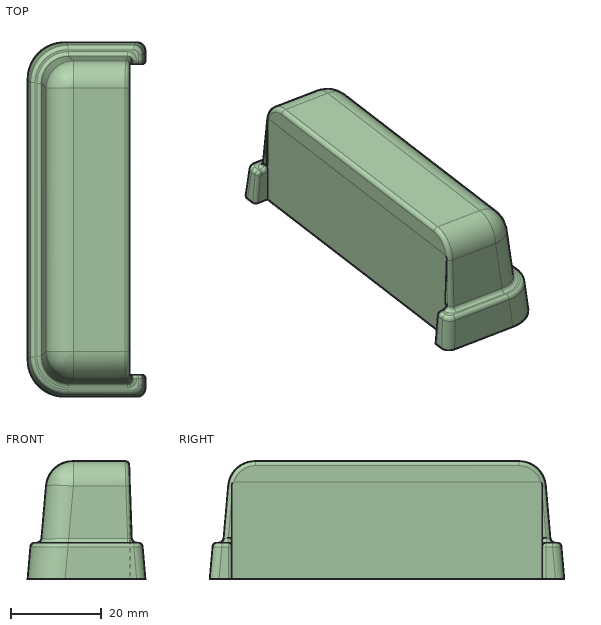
import cadquery as cq
import math

length = 78.0
width = 26.0
height = 26.0

draft = 5.0
tower_back_draft = 2.0

flange_height = 8.0
flange_front_corner = 8.3
flange_back_corner = 2.0

ledge = 2.3
dome_radius = 6.0

edge_radius = 1.0

notch_length = 68.2
notch_x = 22.55
lip_end_radius = 0.85

pick_margin = 0.1


def run(rise, angle):
    """Horizontal distance that a leaning side covers over a rise."""
    return rise * math.tan(math.radians(angle))


def prism(plane, points, distance, both=False):
    return cq.Workplane(plane).polyline(points).close().extrude(distance, both=both)


def tapered_block(x_min, x_max, y_half, z_min, z_max, back_draft):
    """Block with flat leaning sides, given its footprint at z_min."""
    rise = z_max - z_min
    inset = run(rise, draft)
    side_outline = [
        (x_min, z_min),
        (x_max, z_min),
        (x_max - run(rise, back_draft), z_max),
        (x_min + inset, z_max),
    ]
    end_outline = [
        (-y_half, z_min),
        (y_half, z_min),
        (y_half - inset, z_max),
        (inset - y_half, z_max),
    ]
    lengthwise = prism("XZ", side_outline, y_half, both=True)
    crosswise = prism("YZ", end_outline, x_max)
    return lengthwise.intersect(crosswise)


def box_between(low, high):
    """Solid box between two opposite corners."""
    size = [b - a for a, b in zip(low, high)]
    return cq.Workplane("XY").box(*size, centered=False).translate(low)


def edges_inside(low, high):
    """Selector for edges that lie wholly inside a box."""
    return cq.selectors.BoxSelector(low, high, boundingbox=True)


def round_uprights(block, side, radius):
    """Round the two upright corner edges on one side."""
    return block.edges("not(#Z)").edges(side).fillet(radius)


def make_flange():
    block = tapered_block(0, width, length / 2, 0, flange_height, draft)
    block = round_uprights(block, "<X", flange_front_corner)
    block = round_uprights(block, ">X", flange_back_corner)
    return block.faces(">Z").edges().fillet(edge_radius)


def make_tower(setback):
    block = tapered_block(
        setback, width - setback, length / 2 - setback,
        flange_height, height, tower_back_draft,
    )
    block = round_uprights(block, "<X", dome_radius)
    block = block.faces(">Z").edges("not >X").fillet(dome_radius)
    return block.faces(">X").edges("not <Z").fillet(edge_radius)


def blend_foot(body, setback):
    """Fillet the inside corner where the tower meets the ledge."""
    low = (setback - pick_margin, -length / 2, flange_height - pick_margin)
    high = (width - setback + pick_margin, length / 2, flange_height + pick_margin)
    return body.edges(edges_inside(low, high)).fillet(edge_radius)


def make_lip(body):
    """Lip at the +Y end of the notch, rounded along the edge of its end face."""
    root_x = notch_x - edge_radius
    lip = body.intersect(box_between((root_x, notch_y, 0), (width, length / 2, lip_top)))
    low = (notch_x, notch_y - pick_margin, -pick_margin)
    high = (width + pick_margin, notch_y + pick_margin, lip_top + pick_margin)
    return lip.edges(edges_inside(low, high)).fillet(lip_end_radius)


def cut_notch(body):
    """Open the back between the lips and clear the sharp-edged lip stubs."""
    opening = box_between((notch_x, -notch_y, 0), (width, notch_y, height))
    stubs = box_between((notch_x, -length / 2, 0), (width, length / 2, lip_top))
    return body.cut(opening).cut(stubs)


setback = run(flange_height, draft) + ledge
notch_y = notch_length / 2
lip_top = flange_height + edge_radius

body = blend_foot(make_flange().union(make_tower(setback)), setback)
lip = make_lip(body)
result = cut_notch(body).union(lip).union(lip.mirror("XZ"))